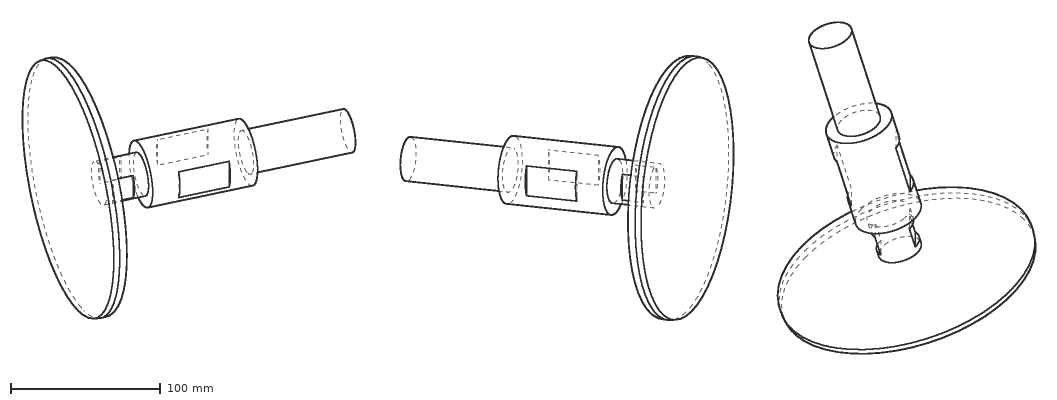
import cadquery as cq

TOTAL_LENGTH = 200.0

FOOT_DIAMETER = 178.0
PAD_THICKNESS = 4.0
PAD_EDGE_INSET = 0.5

SHOULDER_START = 7.0
SHOULDER_RADIUS = 3.2
CONE_TOP = 22.0

STEM_DIAMETER = 30.0
COLLAR_DIAMETER = 46.0
COLLAR_START = 52.0
COLLAR_LENGTH = 75.0

STEM_FLAT_START = 27.0
STEM_FLAT_LENGTH = 15.0
STEM_ACROSS_FLATS = 24.0
COLLAR_FLAT_LENGTH = 36.0
COLLAR_ACROSS_FLATS = 41.0
COLLAR_FLAT_START = COLLAR_START + (COLLAR_LENGTH - COLLAR_FLAT_LENGTH) / 2

foot_radius = FOOT_DIAMETER / 2
stem_radius = STEM_DIAMETER / 2


def revolve_about_y(profile):
    """Turn a closed XY half profile around the Y axis."""
    return profile.close().revolve(360, (0, 0, 0), (0, 1, 0))


def cylinder_along_y(diameter, start, length):
    return (
        cq.Workplane("XZ", origin=(0, start, 0))
        .circle(diameter / 2)
        .extrude(-length)
    )


def cut_wrench_flats(body, diameter, across_flats, start, length):
    """Cut two opposite flats into a round section of the body."""
    depth = (diameter - across_flats) / 2
    for side in (-1, 1):
        cutter = cq.Workplane("XY").box(depth, length, diameter, centered=(True, False, True))
        cutter = cutter.translate((side * (across_flats + depth) / 2, start, 0))
        body = body.cut(cutter)
    return body


def make_pad():
    """Disc that narrows slightly towards the floor."""
    return revolve_about_y(
        cq.Workplane("XY")
        .lineTo(foot_radius - PAD_EDGE_INSET, 0)
        .lineTo(foot_radius, PAD_THICKNESS)
        .lineTo(0, PAD_THICKNESS)
    )


def make_foot_plate():
    """Conical plate whose shoulder arc is tangent to both the rim and the cone."""
    center = cq.Vector(foot_radius - SHOULDER_RADIUS, SHOULDER_START)
    to_stem = cq.Vector(stem_radius, CONE_TOP) - center
    distance = to_stem.Length
    along = SHOULDER_RADIUS**2 / distance
    across = SHOULDER_RADIUS * (1 - (SHOULDER_RADIUS / distance) ** 2) ** 0.5
    direction = to_stem.normalized()
    normal = cq.Vector(direction.y, -direction.x)
    tangent_point = center + direction * along + normal * across

    return revolve_about_y(
        cq.Workplane("XY")
        .moveTo(0, PAD_THICKNESS)
        .lineTo(foot_radius, PAD_THICKNESS)
        .lineTo(foot_radius, SHOULDER_START)
        .tangentArcPoint((tangent_point.x, tangent_point.y), relative=False)
        .lineTo(stem_radius, CONE_TOP)
        .lineTo(0, CONE_TOP)
    )


def make_foot():
    """Foot plate, stem and collar as one piece, with both pairs of flats."""
    stem = cylinder_along_y(STEM_DIAMETER, CONE_TOP, TOTAL_LENGTH - CONE_TOP)
    collar = cylinder_along_y(COLLAR_DIAMETER, COLLAR_START, COLLAR_LENGTH)
    foot = make_foot_plate().union(stem).union(collar)
    foot = cut_wrench_flats(foot, STEM_DIAMETER, STEM_ACROSS_FLATS, STEM_FLAT_START, STEM_FLAT_LENGTH)
    return cut_wrench_flats(
        foot, COLLAR_DIAMETER, COLLAR_ACROSS_FLATS, COLLAR_FLAT_START, COLLAR_FLAT_LENGTH
    )


pad = make_pad()
foot = make_foot()

result = cq.Compound.makeCompound([pad.val(), foot.val()])